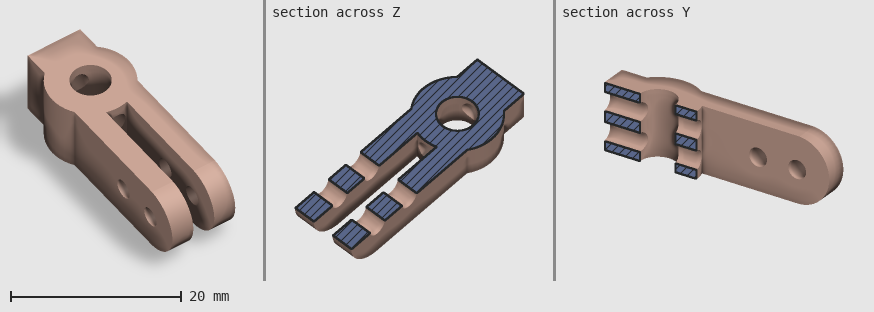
import cadquery as cq

height = 9.0
boss_diameter = 11.0
bore_diameter = 4.96
tail_reach = 7.5
tail_width = 7.5
overall_length = 30.66
fork_width = 9.0
slot_width = 3.0
tip_length = 4.17
hole_diameter = 2.5
cross_hole_pitch = 5.5
tail_hole_pitch = 4.0

fork_reach = overall_length - tail_reach
tip_start_x = fork_reach - tip_length
tip_radius = ((height / 2) ** 2 + tip_length**2) / (2 * tip_length)
tip_centre_x = fork_reach - tip_radius
cross_hole_xs = (tip_centre_x - cross_hole_pitch, tip_centre_x)
tail_hole_zs = (-tail_hole_pitch / 2, tail_hole_pitch / 2)


def upright_cylinder(diameter):
    """Full-height cylinder on the bore axis."""
    return cq.Workplane("XY").circle(diameter / 2).extrude(height / 2, both=True)


def make_tail():
    """Rectangular block from the flat end to the bore axis."""
    return cq.Workplane("XY").box(tail_reach, tail_width, height).translate((-tail_reach / 2, 0, 0))


def make_fork():
    """Two parallel arms with round tips, split by the slot."""
    profile = (
        cq.Workplane("XZ")
        .moveTo(0, -height / 2)
        .lineTo(tip_start_x, -height / 2)
        .threePointArc((fork_reach, 0), (tip_start_x, height / 2))
        .lineTo(0, height / 2)
        .close()
    )
    arms = profile.extrude(fork_width / 2, both=True)
    slot = cq.Workplane("XY").box(fork_reach, slot_width, height).translate((fork_reach / 2, 0, 0))
    return arms.cut(slot)


def make_cross_holes():
    """Cutters along Y through both fork arms."""
    centres = [(x, 0) for x in cross_hole_xs]
    return cq.Workplane("XZ").pushPoints(centres).circle(hole_diameter / 2).extrude(fork_width, both=True)


def make_tail_holes():
    """Cutters along X from the tail end, across the bore and into the slot."""
    centres = [(0, z) for z in tail_hole_zs]
    return cq.Workplane("YZ").pushPoints(centres).circle(hole_diameter / 2).extrude(tail_reach, both=True)


body = upright_cylinder(boss_diameter).union(make_tail()).union(make_fork())
result = body.cut(upright_cylinder(bore_diameter)).cut(make_cross_holes()).cut(make_tail_holes())